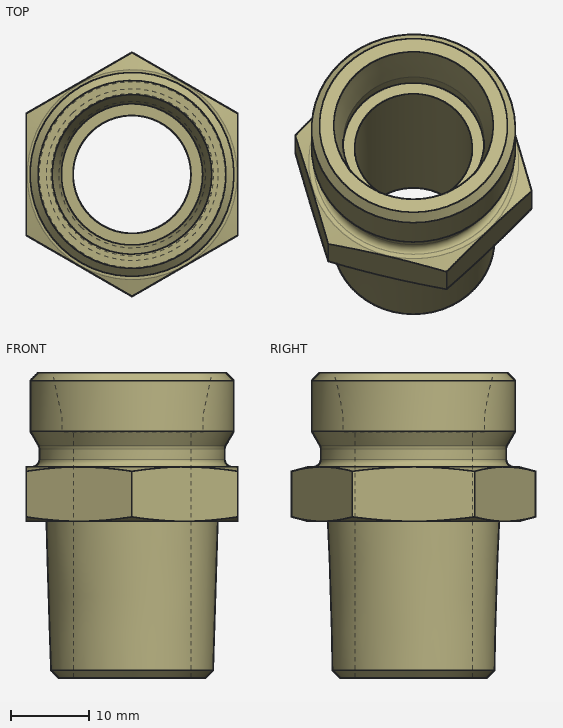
import cadquery as cq
import math

total_height = 39.0
hex_bottom = 20.0
hex_top = 27.0

across_flats = 27.0
across_corners = across_flats / math.cos(math.radians(30))
hex_chamfer_angle = 15.0
hex_face_diameter = 26.8

taper = 1 / 16
taper_top_diameter = 21.9
taper_end_chamfer = 1.0

collar_diameter = 26.0
collar_bottom = 31.5
collar_chamfer = 1.0
undercut_diameter = 23.7
collar_cone_half_angle = 30.0
undercut_fillet = 0.95

bore_diameter = 15.0
seat_diameter = 18.0
seat_mouth_diameter = 20.35
seat_cone_half_angle = 12.0
seat_depth = 7.55


def revolve_profile(outline):
    """Close a (radius, height) outline and turn it about the Z axis."""
    return cq.Workplane("XZ").polyline(outline).close().revolve(360, (0, 0), (0, 1))


def taper_radius(height):
    return (taper_top_diameter - taper * (hex_bottom - height)) / 2


def make_tapered_end():
    return revolve_profile([
        (0, 0),
        (taper_radius(taper_end_chamfer) - taper_end_chamfer, 0),
        (taper_radius(taper_end_chamfer), taper_end_chamfer),
        (taper_radius(hex_bottom), hex_bottom),
        (0, hex_bottom),
    ])


def make_hexagon():
    """Hexagon with flats on the X sides and conically chamfered corners."""
    prism = (
        cq.Workplane("XY", origin=(0, 0, hex_bottom))
        .polygon(6, across_corners)
        .extrude(hex_top - hex_bottom)
        .rotate((0, 0, 0), (0, 0, 1), 30)
    )
    face_radius = hex_face_diameter / 2
    corner_radius = across_corners / 2
    drop = (corner_radius - face_radius) * math.tan(math.radians(hex_chamfer_angle))
    envelope = revolve_profile([
        (0, hex_bottom),
        (face_radius, hex_bottom),
        (corner_radius, hex_bottom + drop),
        (corner_radius, hex_top - drop),
        (face_radius, hex_top),
        (0, hex_top),
    ])
    return prism.intersect(envelope)


def make_collar():
    """Upper collar and undercut, with a fillet at each end of the undercut."""
    collar_radius = collar_diameter / 2
    undercut_radius = undercut_diameter / 2
    cone_angle = math.radians(collar_cone_half_angle)
    corner_height = collar_bottom - (collar_radius - undercut_radius) / math.tan(cone_angle)
    tangent_length = undercut_fillet * math.tan(cone_angle / 2)
    cone_tangent = (
        undercut_radius + tangent_length * math.sin(cone_angle),
        corner_height + tangent_length * math.cos(cone_angle),
    )
    return (
        cq.Workplane("XZ")
        .moveTo(0, hex_top)
        .lineTo(undercut_radius + undercut_fillet, hex_top)
        .radiusArc((undercut_radius, hex_top + undercut_fillet), undercut_fillet)
        .lineTo(undercut_radius, corner_height - tangent_length)
        .radiusArc(cone_tangent, undercut_fillet)
        .lineTo(collar_radius, collar_bottom)
        .lineTo(collar_radius, total_height - collar_chamfer)
        .lineTo(collar_radius - collar_chamfer, total_height)
        .lineTo(0, total_height)
        .close()
        .revolve(360, (0, 0), (0, 1))
    )


def make_bore():
    """Through bore, cylindrical tube seat and conical mouth."""
    mouth_radius = seat_mouth_diameter / 2
    seat_radius = seat_diameter / 2
    cone_depth = (mouth_radius - seat_radius) / math.tan(math.radians(seat_cone_half_angle))
    seat_floor = total_height - seat_depth
    return revolve_profile([
        (0, 0),
        (bore_diameter / 2, 0),
        (bore_diameter / 2, seat_floor),
        (seat_radius, seat_floor),
        (seat_radius, total_height - cone_depth),
        (mouth_radius, total_height),
        (0, total_height),
    ])


body = make_tapered_end().union(make_hexagon()).union(make_collar())
result = body.cut(make_bore())